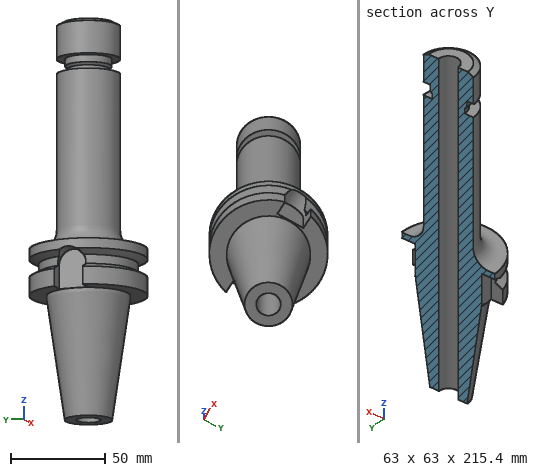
import cadquery as cq
import math


gauge_radius = 44.45 / 2
taper_length = 65.4
taper_ratio = 7 / 24
taper_tip_radius = gauge_radius - taper_length * taper_ratio / 2

flange_radius = 63 / 2
flange_bottom = 2
flange_top = 27
groove_center = 16.6
groove_width = 10
groove_floor_radius = 53 / 2
groove_half_width = groove_width / 2
groove_floor_half_width = 4.9 / 2

slot_width = 16.1
slot_top = 23
slot_floor_distance = 22.6

body_radius = 34 / 2
body_fillet = 10
fillet_top = flange_top + body_fillet
fillet_mid_offset = body_fillet * (1 - math.sin(math.pi / 4))

nut_top = 150
nut_radius = body_radius
nut_length = 19.6
nut_chamfer_height = 2
nut_face_radius = 26.5 / 2
nut_bottom = nut_top - nut_length
collar_radius = 25 / 2
collar_length = 3.9
collar_bottom = nut_bottom - collar_length
neck_radius = 22.2 / 2
neck_length = 4.4
neck_cone_height = collar_radius - neck_radius
body_top = collar_bottom - neck_length

bore_radius = 13 / 2


def turned_body():
    """Everything that is round about the axis, before the bore and the slots."""
    outline = (
        cq.Workplane("XZ")
        .moveTo(0, -taper_length)
        .lineTo(taper_tip_radius, -taper_length)
        .lineTo(gauge_radius, 0)
        .lineTo(gauge_radius, flange_bottom)
        .lineTo(flange_radius, flange_bottom)
        .lineTo(flange_radius, groove_center - groove_half_width)
        .lineTo(groove_floor_radius, groove_center - groove_floor_half_width)
        .lineTo(groove_floor_radius, groove_center + groove_floor_half_width)
        .lineTo(flange_radius, groove_center + groove_half_width)
        .lineTo(flange_radius, flange_top)
        .lineTo(body_radius + body_fillet, flange_top)
        .threePointArc(
            (body_radius + fillet_mid_offset, flange_top + fillet_mid_offset),
            (body_radius, fillet_top),
        )
        .lineTo(body_radius, body_top)
        .lineTo(neck_radius, body_top)
        .lineTo(neck_radius, collar_bottom - neck_cone_height)
        .lineTo(collar_radius, collar_bottom)
        .lineTo(collar_radius, nut_bottom)
        .lineTo(nut_radius, nut_bottom)
        .lineTo(nut_radius, nut_top - nut_chamfer_height)
        .lineTo(nut_face_radius, nut_top)
        .lineTo(0, nut_top)
        .close()
    )
    return outline.revolve(360, (0, 0, 0), (0, 1, 0))


def drive_slot(side):
    """Round-topped slot cutter, open at the flange bottom; side is -1 or +1 along X."""
    half_width = slot_width / 2
    return (
        cq.Workplane("YZ", origin=(side * slot_floor_distance, 0, 0))
        .moveTo(-half_width, flange_bottom)
        .lineTo(-half_width, slot_top - half_width)
        .threePointArc((0, slot_top), (half_width, slot_top - half_width))
        .lineTo(half_width, flange_bottom)
        .close()
        .extrude(side * flange_radius)
    )


def through_bore():
    """Round hole along the whole axis."""
    return (
        cq.Workplane("XY", origin=(0, 0, -taper_length))
        .circle(bore_radius)
        .extrude(taper_length + nut_top)
    )


result = turned_body().cut(through_bore())
for slot_side in (-1, 1):
    result = result.cut(drive_slot(slot_side))